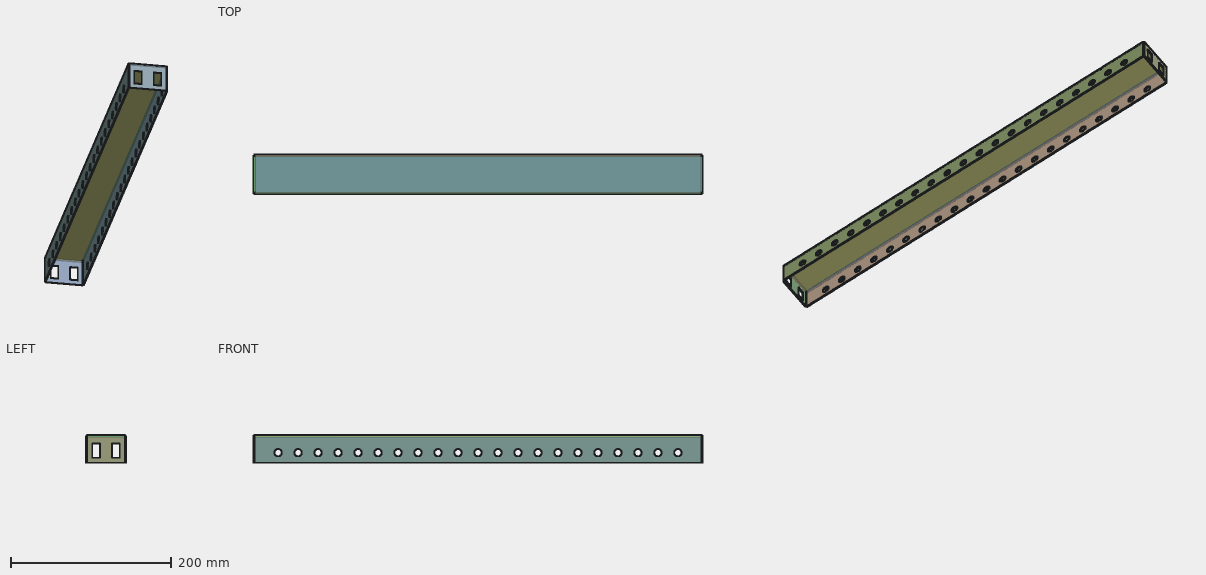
import cadquery as cq

length = 562.0
width = 50.0
height = 35.0
sheet = 1.4
bend_radius = 2.55
inner_bend_radius = bend_radius - sheet

hole_count = 21
hole_row_length = 499.5
hole_pitch = hole_row_length / (hole_count - 1)
hole_diameter = 9.0
hole_drop = 4.8
hole_height = height / 2 - hole_drop

window_width = 9.5
window_height = 17.5
window_spacing = 25.0
window_center_height = 15.0

corner_relief = 1.6


def folded_block(block_length, block_width, block_height, radius):
    """Block standing on Z = 0 with its four top edges rounded."""
    block = cq.Workplane("XY").box(
        block_length, block_width, block_height, centered=(True, True, False)
    )
    return block.edges(">Z").fillet(radius)


def folded_shell():
    """Sheet cover with four walls and an open bottom."""
    outside = folded_block(length, width, height, bend_radius)
    inside = folded_block(
        length - 2 * sheet, width - 2 * sheet, height - sheet, inner_bend_radius
    )
    return outside.cut(inside)


def side_holes():
    """Row of cylinders crossing both long walls."""
    return (
        cq.Workplane("XZ", origin=(0, 0, hole_height))
        .rarray(hole_pitch, 5.5, hole_count, 1)
        .circle(hole_diameter / 2)
        .extrude(width, both=True)
    )


def end_windows():
    """Two rectangular bars crossing both end walls."""
    return (
        cq.Workplane("YZ", origin=(0, 0, window_center_height))
        .rarray(window_spacing, 5.5, 2, 1)
        .rect(window_width, window_height)
        .extrude(length, both=True)
    )


def corner_reliefs():
    """Full-height square notches, one at each corner of the cover."""
    return (
        cq.Workplane("XY")
        .rarray(length - corner_relief, width - corner_relief, 2, 2)
        .rect(corner_relief, corner_relief)
        .extrude(height)
    )


result = folded_shell().cut(side_holes()).cut(end_windows()).cut(corner_reliefs())